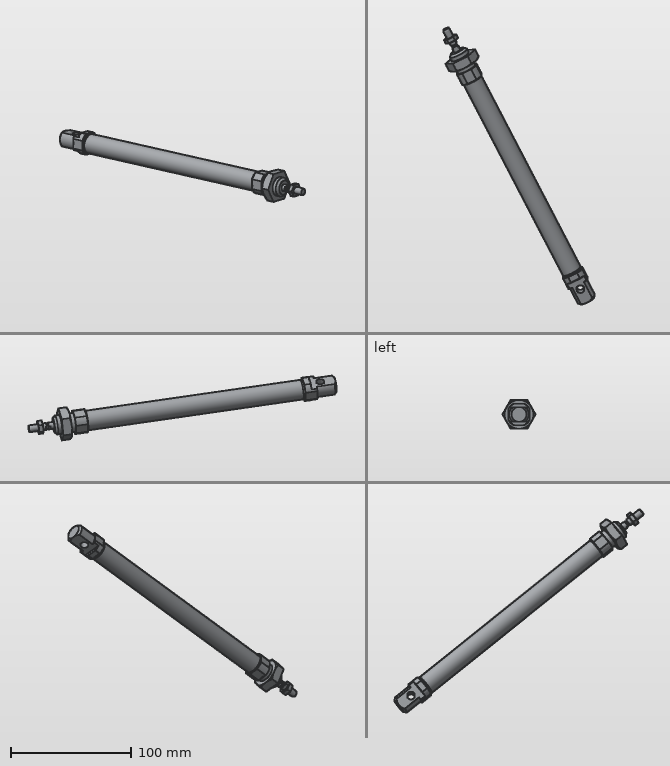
import cadquery as cq
import math

TOTAL_LENGTH = 261.0
CLEVIS_STEP_X = 17.0
CLEVIS_FLAT_END_X = 21.7
REAR_FLAT_END_X = 27.1
TUBE_START_X = 28.7
TUBE_END_X = 212.0
FRONT_FLAT_START_X = 212.5
FRONT_FLAT_END_X = 222.6
LOCK_NUT_X = 226.5
COLLAR_END_X = 239.9
ROD_NUT_X = 249.5

TUBE_RADIUS = 8.4

CAP_RADIUS = 10.0
CAP_FLAT_WIDTH = 18.0

CLEVIS_RADIUS = 8.0
CLEVIS_THICKNESS = 12.0
CLEVIS_END_CHAMFER = 1.8
PIVOT_X = 12.8
PIVOT_DIAMETER = 6.5

COLLAR_RADIUS = 8.0
COLLAR_TIP_CHAMFER = 2.0

ROD_RADIUS = 3.0
ROD_TIP_LENGTH = 1.5
ROD_TIP_RADIUS = 2.5
ROD_GROOVE_X = 244.5
ROD_GROOVE_WIDTH = 1.5
ROD_GROOVE_RADIUS = 2.22
ROD_FLAT_X = 243.0
ROD_FLAT_LENGTH = 4.0
ROD_FLAT_WIDTH = 4.7

LOCK_NUT_WIDTH = 24.0
LOCK_NUT_THICKNESS = 7.8
ROD_NUT_WIDTH = 10.0
ROD_NUT_THICKNESS = 3.7
LOCK_NUT_CHAMFER_ANGLE = 30.0


def turned_bar(points):
    """Solid of revolution about the X axis from (x, radius) points, closed along the axis."""
    start = points[0][0]
    end = points[-1][0]
    profile = cq.Workplane("XZ").polyline([(start, 0), *points, (end, 0)]).close()
    return profile.revolve(360, (0, 0, 0), (1, 0, 0))


def rod_along_x(start, end, radius):
    """Plain round bar on the X axis."""
    return turned_bar([(start, radius), (end, radius)])


def box_along_x(start, end, width_y, width_z):
    """Rectangular bar centred on the X axis."""
    return cq.Workplane("YZ", origin=(start, 0, 0)).rect(width_y, width_z).extrude(end - start)


def cap_bar(start, end):
    """Round cap bar with flats on its +-Y and +-Z sides."""
    flats = box_along_x(start, end, CAP_FLAT_WIDTH, CAP_FLAT_WIDTH)
    return rod_along_x(start, end, CAP_RADIUS).intersect(flats)


def make_tube():
    return rod_along_x(TUBE_START_X, TUBE_END_X, TUBE_RADIUS)


def make_rear_cap():
    tongue = rod_along_x(0, CLEVIS_STEP_X, CLEVIS_RADIUS).faces("<X").chamfer(CLEVIS_END_CHAMFER)
    flattened = tongue.union(cap_bar(CLEVIS_STEP_X, CLEVIS_FLAT_END_X)).intersect(
        box_along_x(0, CLEVIS_FLAT_END_X, 2 * CAP_RADIUS, CLEVIS_THICKNESS)
    )
    pivot_hole = (
        cq.Workplane("XY")
        .center(PIVOT_X, 0)
        .circle(PIVOT_DIAMETER / 2)
        .extrude(CLEVIS_THICKNESS / 2, both=True)
    )
    shoulder = cap_bar(CLEVIS_FLAT_END_X, REAR_FLAT_END_X)
    neck = rod_along_x(REAR_FLAT_END_X, TUBE_START_X, TUBE_RADIUS)
    return flattened.cut(pivot_hole).union(shoulder).union(neck)


def make_front_cap():
    collar = rod_along_x(FRONT_FLAT_END_X, COLLAR_END_X, COLLAR_RADIUS)
    collar = collar.faces(">X").chamfer(COLLAR_TIP_CHAMFER)
    neck = rod_along_x(TUBE_END_X, FRONT_FLAT_START_X, TUBE_RADIUS)
    shoulder = cap_bar(FRONT_FLAT_START_X, FRONT_FLAT_END_X)
    return neck.union(shoulder).union(collar)


def make_piston_rod():
    rod = turned_bar(
        [
            (COLLAR_END_X, ROD_RADIUS),
            (TOTAL_LENGTH - ROD_TIP_LENGTH, ROD_RADIUS),
            (TOTAL_LENGTH, ROD_TIP_RADIUS),
        ]
    )
    flat_end = ROD_FLAT_X + ROD_FLAT_LENGTH
    flats = box_along_x(ROD_FLAT_X, flat_end, 2 * ROD_RADIUS, 2 * ROD_RADIUS).cut(
        box_along_x(ROD_FLAT_X, flat_end, ROD_FLAT_WIDTH, 2 * ROD_RADIUS)
    )
    groove_end = ROD_GROOVE_X + ROD_GROOVE_WIDTH
    groove = rod_along_x(ROD_GROOVE_X, groove_end, ROD_RADIUS).cut(
        rod_along_x(ROD_GROOVE_X, groove_end, ROD_GROOVE_RADIUS)
    )
    return rod.cut(flats).cut(groove)


def make_hexagon_nut(start, thickness, width, bore_radius):
    """Plain hexagon nut with its corners on +-Y."""
    corner_radius = width / math.sqrt(3)
    hexagon = cq.Workplane("YZ", origin=(start, 0, 0)).polygon(6, 2 * corner_radius).extrude(thickness)
    return hexagon.cut(rod_along_x(start, start + thickness, bore_radius))


def make_lock_nut():
    """Hexagon nut whose -X face is turned down to a circle as wide as the flats."""
    corner_radius = LOCK_NUT_WIDTH / math.sqrt(3)
    face_radius = LOCK_NUT_WIDTH / 2
    chamfer_depth = (corner_radius - face_radius) * math.tan(math.radians(LOCK_NUT_CHAMFER_ANGLE))
    turned = turned_bar(
        [
            (LOCK_NUT_X, face_radius),
            (LOCK_NUT_X + chamfer_depth, corner_radius),
            (LOCK_NUT_X + LOCK_NUT_THICKNESS, corner_radius),
        ]
    )
    nut = make_hexagon_nut(LOCK_NUT_X, LOCK_NUT_THICKNESS, LOCK_NUT_WIDTH, COLLAR_RADIUS)
    return nut.intersect(turned)


tube = make_tube()
rear_cap = make_rear_cap()
front_cap = make_front_cap()
piston_rod = make_piston_rod()
lock_nut = make_lock_nut()
rod_nut = make_hexagon_nut(ROD_NUT_X, ROD_NUT_THICKNESS, ROD_NUT_WIDTH, ROD_RADIUS)

result = cq.Compound.makeCompound(
    [
        tube.val(),
        rear_cap.val(),
        front_cap.val(),
        piston_rod.val(),
        lock_nut.val(),
        rod_nut.val(),
    ]
)